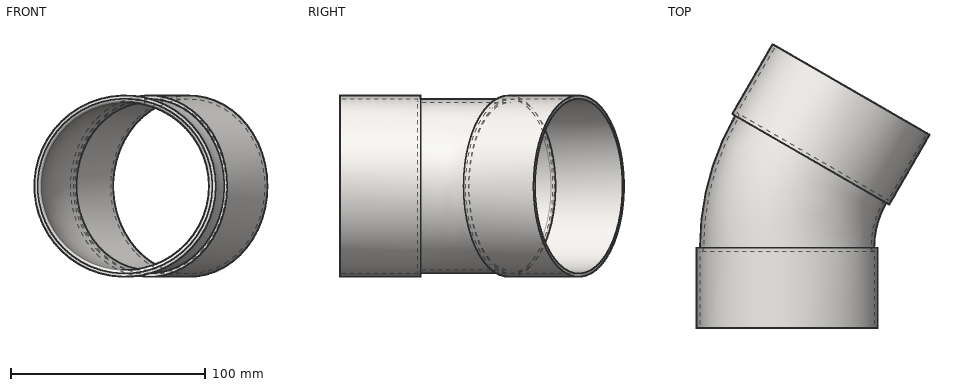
import cadquery as cq
import math

bend_angle = 30.0
bend_radius = 90.9
socket_length = 41.6
socket_diameter = 93.5
socket_bore = 90.0
body_diameter = 90.0
body_bore = 86.4

stop_radius = (socket_bore - body_bore) / 2
socket_depth = socket_length - stop_radius


def outer_socket():
    """Solid inlet socket, opening toward -Y."""
    return cq.Workplane("XZ").circle(socket_diameter / 2).extrude(-socket_length)


def socket_cavity():
    """Socket bore that narrows to the body bore over the rounded stop."""
    bore_radius = socket_bore / 2
    diagonal = stop_radius * math.sqrt(0.5)
    arc_middle = (bore_radius - diagonal, socket_length - diagonal)
    return (
        cq.Workplane("XY")
        .lineTo(bore_radius, 0)
        .lineTo(bore_radius, socket_depth)
        .threePointArc(arc_middle, (body_bore / 2, socket_length))
        .lineTo(0, socket_length)
        .close()
        .revolve(360, (0, 0), (0, 1))
    )


def elbow(inlet, bend_diameter):
    """Join the inlet and its mirrored outlet with a bend that turns toward +X."""
    bend = (
        cq.Workplane("XZ", origin=(0, socket_length, 0))
        .circle(bend_diameter / 2)
        .revolve(bend_angle, (bend_radius, 0), (bend_radius, -1))
    )
    outlet = inlet.mirror("XZ", (0, socket_length, 0)).rotate(
        (bend_radius, socket_length, 0),
        (bend_radius, socket_length, 1),
        -bend_angle,
    )
    return inlet.union(bend).union(outlet)


result = elbow(outer_socket(), body_diameter).cut(elbow(socket_cavity(), body_bore))